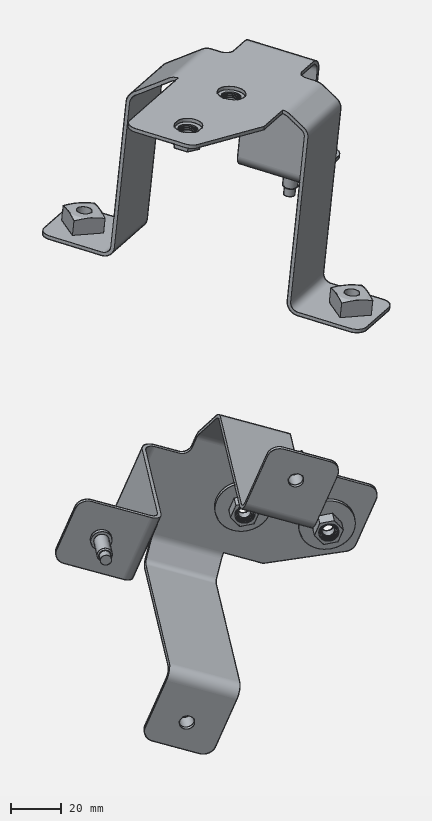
import cadquery as cq
import math

sheet = 1.5
strap_width = 30.0
corner_radius = 5.0
plate_bend = 5.0
leg_bend = 3.5

plate_half_width = 23.0
plate_front = -49.8
side_arm_y = 14.0
shoulder_y = side_arm_y + strap_width / 2
shoulder_fillet = 4.0
tongue_length = 8.0
cut_side_y = -17.8
cut_front_x = 6.8
round_hole_diameter = 11.3
slot_x, slot_y = -2.0, -35.0
slot_width = 10.5
slot_length = 12.3

side_foot_drop = 85.2
left_wall = 44.0
left_slope = 36.5
left_bend = 5.0
right_wall = 34.8
right_slope = 31.5
right_bend = 3.0
side_foot_length = 31.3
back_wall = 49.4
back_foot_drop = 57.0
back_foot_length = 33.7

square_nut_side = 13.0
square_nut_height = 7.2
square_nut_crown = 12.9
square_nut_cone = 15
square_nut_bore = 6.1
square_nut_from_wall = 19.3

flange_diameter = 22.4
flange_height = 1.7
hex_flats = 10.0
hex_height = 5.5
bore_diameter = 5.0
bore_mouth = 8.0
bore_steps = 3
bore_step_depth = 0.5

stud_y = 68.3
collar_diameter = 8.5
collar_height = 1.5
shank_diameter = 6.1
shank_length = 10.9
tip_diameter = 4.5
tip_length = 3.4
step_chamfer = 0.5

tilt_x, tilt_y, tilt_z = -6.8, 2.6, 0.2


def moved(point, heading, distance):
    """The point reached from `point` by going `distance` along `heading`, in radians."""
    return (point[0] + distance * math.cos(heading), point[1] + distance * math.sin(heading))


def bent_strip(path, inside_radii):
    """Strip whose upper face follows `path`, a list of (outward, up) points, bent at the inner points."""
    quarter = math.pi / 2
    upper, lower = [], []
    upper_mids, lower_mids = [], []
    for before, corner, after, inside in zip(path, path[1:], path[2:], inside_radii):
        heading_in = math.atan2(corner[1] - before[1], corner[0] - before[0])
        heading_out = math.atan2(after[1] - corner[1], after[0] - corner[0])
        turn = heading_out - heading_in
        side = math.copysign(1, turn)
        upper_radius = inside if side > 0 else inside + sheet
        lower_radius = upper_radius + side * sheet
        tangent_length = upper_radius * math.tan(abs(turn) / 2)
        start = moved(corner, heading_in, -tangent_length)
        end = moved(corner, heading_out, tangent_length)
        centre = moved(start, heading_in + side * quarter, upper_radius)
        toward_mid = (heading_in + heading_out) / 2 - side * quarter
        upper_mids.append(moved(centre, toward_mid, upper_radius))
        lower_mids.append(moved(centre, toward_mid, lower_radius))
        if not upper:
            upper.append(path[0])
            lower.append(moved(path[0], heading_in - quarter, sheet))
        upper += [start, end]
        lower += [moved(start, heading_in - quarter, sheet), moved(end, heading_out - quarter, sheet)]
    upper.append(path[-1])
    lower.append(moved(path[-1], heading_out - quarter, sheet))

    outline = cq.Workplane("XZ").moveTo(*upper[0])
    for bend, mid in enumerate(upper_mids):
        outline = outline.lineTo(*upper[2 * bend + 1]).threePointArc(mid, upper[2 * bend + 2])
    outline = outline.lineTo(*upper[-1]).lineTo(*lower[-1])
    for bend, mid in reversed(list(enumerate(lower_mids))):
        outline = outline.lineTo(*lower[2 * bend + 2]).threePointArc(mid, lower[2 * bend + 1])
    strip = outline.lineTo(*lower[0]).close().extrude(strap_width / 2, both=True)
    return strip.faces(">X").edges("|Z").fillet(corner_radius)


def side_arm(wall, slope, wall_bend):
    bend_length = (plate_bend + sheet) * math.tan(math.radians(slope / 2))
    slope_start = plate_half_width + bend_length
    slope_drop = (wall - slope_start) * math.tan(math.radians(slope))
    path = [
        (plate_half_width - sheet, 0),
        (slope_start, 0),
        (wall, -slope_drop),
        (wall, -side_foot_drop),
        (wall + side_foot_length, -side_foot_drop),
    ]
    arm = bent_strip(path, [plate_bend, wall_bend, leg_bend])
    bore = (cq.Workplane("XY").center(wall + square_nut_from_wall, 0)
            .circle(square_nut_bore / 2).extrude(-2 * side_foot_drop))
    return arm.cut(bore)


def back_arm():
    path = [
        (shoulder_y, 0),
        (back_wall, 0),
        (back_wall, -back_foot_drop),
        (back_wall + back_foot_length, -back_foot_drop),
    ]
    return bent_strip(path, [plate_bend, leg_bend])


def top_plate():
    tongue = strap_width / 2
    tongue_end = shoulder_y + tongue_length
    plate = (
        cq.Workplane("XY")
        .polyline([
            (-plate_half_width, plate_front),
            (cut_front_x, plate_front),
            (plate_half_width, cut_side_y),
            (plate_half_width, shoulder_y),
            (tongue, shoulder_y),
            (tongue, tongue_end),
            (-tongue, tongue_end),
            (-tongue, shoulder_y),
            (-plate_half_width, shoulder_y),
        ])
        .close().extrude(-sheet)
    )
    plate = plate.edges("|Z and <Y").fillet(corner_radius)
    inner_corners = cq.selectors.BoxSelector(
        (-tongue - sheet, shoulder_y - sheet, -2 * sheet), (tongue + sheet, shoulder_y + sheet, sheet))
    plate = plate.edges("|Z").edges(inner_corners).fillet(shoulder_fillet)
    round_hole = cq.Workplane("XY").circle(round_hole_diameter / 2).extrude(-sheet)
    slot = (cq.Workplane("XY").center(slot_x, slot_y)
            .slot2D(slot_length, slot_width, 90).extrude(-sheet))
    return plate.cut(round_hole).cut(slot)


def bracket():
    left = side_arm(left_wall, left_slope, left_bend)
    left = left.rotate((0, 0, 0), (0, 0, 1), 180).translate((0, side_arm_y, 0))
    right = side_arm(right_wall, right_slope, right_bend).translate((0, side_arm_y, 0))
    back = back_arm().rotate((0, 0, 0), (0, 0, 1), 90)
    return top_plate().union(left).union(right).union(back)


def square_nut(x):
    block = (cq.Workplane("XY").rect(square_nut_side, square_nut_side).extrude(square_nut_height)
             .rotate((0, 0, 0), (0, 0, 1), 45))
    reach = square_nut_side
    cone_drop = (reach - square_nut_crown / 2) * math.tan(math.radians(square_nut_cone))
    crown = (
        cq.Workplane("XZ")
        .polyline([
            (0, 0),
            (reach, 0),
            (reach, square_nut_height - cone_drop),
            (square_nut_crown / 2, square_nut_height),
            (0, square_nut_height),
        ])
        .close().revolve(360, (0, 0, 0), (0, 1, 0))
    )
    bore = cq.Workplane("XY").circle(square_nut_bore / 2).extrude(square_nut_height)
    return block.intersect(crown).cut(bore).translate((x, side_arm_y, -side_foot_drop))


def stepped_bore(length):
    """Cutter for a through bore that widens in equal steps toward each end."""
    cutter = cq.Workplane("XY").circle(bore_diameter / 2).extrude(-length)
    step_width = (bore_mouth - bore_diameter) / bore_steps
    for step in range(1, bore_steps + 1):
        depth = (bore_steps + 1 - step) * bore_step_depth
        upper = cq.Workplane("XY").circle((bore_diameter + step * step_width) / 2).extrude(-depth)
        cutter = cutter.union(upper).union(upper.translate((0, 0, depth - length)))
    return cutter


def flange_nut(x, y):
    height = flange_height + hex_height
    flange = cq.Workplane("XY").circle(flange_diameter / 2).extrude(-flange_height)
    body = (cq.Workplane("XY").polygon(6, hex_flats, circumscribed=True).extrude(-height)
            .rotate((0, 0, 0), (0, 0, 1), 30))
    return flange.union(body).cut(stepped_bore(height)).translate((x, y, -sheet))


def stud():
    body = (cq.Workplane("XY").circle(collar_diameter / 2).extrude(-collar_height)
            .faces("<Z").workplane().circle(shank_diameter / 2).extrude(shank_length)
            .faces("<Z").chamfer(step_chamfer)
            .faces("<Z").workplane().circle(tip_diameter / 2).extrude(tip_length))
    return body.translate((0, stud_y, -back_foot_drop - sheet))


def tilted(body):
    origin = (0, 0, 0)
    return (body.rotate(origin, (1, 0, 0), tilt_x)
            .rotate(origin, (0, 1, 0), tilt_y)
            .rotate(origin, (0, 0, 1), tilt_z))


square_nut_places = (-left_wall - square_nut_from_wall, right_wall + square_nut_from_wall)
flange_nut_places = ((0, 0), (slot_x, slot_y))

bodies = [bracket(), stud()]
for x in square_nut_places:
    bodies.append(square_nut(x))
for x, y in flange_nut_places:
    bodies.append(flange_nut(x, y))

result = cq.Compound.makeCompound([tilted(body).val() for body in bodies])